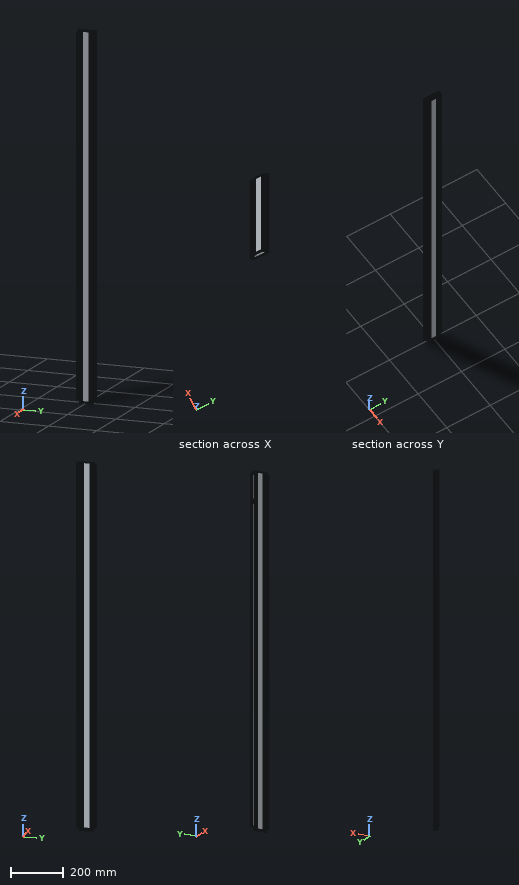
import cadquery as cq


length = 1473.2
width = 76.19
depth = 19.7
sheet = 2.5
cage_sheet = 1.0
clearance = 0.3
raceway_bow = 1.3

top_z = length / 2
bottom_z = -length / 2
back_x = -depth / 2
face_x = depth / 2

outer_half = width / 2
outer_corner = 3.2
outer_front_x = 6.2
flange_top_relief = 10.0
flange_bottom_relief = 15.0
shoulder_height = 11.5
shoulder_chamfer = 3.0
tongue_half = 25.4
bend_radius = 3.2

hole_diameter = 6.4
hole_drops = [13.3, 31.0, 75.4, 88.7, 248.5, 957.0, 971.0, 1442.0]
slots = [
    (53.2, 14.0),
    (603.5, 22.5),
    (1384.5, 14.0),
    (1407.0, 20.0),
    (1459.7, 13.0),
]

outer_cage_half = 33.5
middle_half = 30.5
inner_cage_half = 26.5
inner_half = 23.5
inner_chamfer = 5.5
inner_face_half = 16.5
inner_shoulder_x = outer_front_x
channel_corner = 3.2
inner_cage_corner = 1.5
channel_front_x = 7.5
cage_front_x = 5.5

outer_cage_x = back_x + sheet + clearance
middle_x = outer_cage_x + cage_sheet + clearance
inner_cage_x = middle_x + sheet + clearance
inner_back_x = inner_cage_x + inner_cage_corner

flange_top_z = top_z - flange_top_relief
flange_bottom_z = bottom_z + flange_bottom_relief
middle_bottom_z = bottom_z + shoulder_height
inner_bottom_z = bottom_z + bend_radius


def envelope(web_x, half_width, corner, front_x, z0, z1):
    """Solid block with a flat back, rounded back corners and bowed sides."""
    side_y = half_width - raceway_bow
    bow_start_x = web_x + corner
    bow_mid_x = (bow_start_x + front_x) / 2
    corner_mid = corner * (1 - 0.5 ** 0.5)
    return (
        cq.Workplane("XY", origin=(0, 0, z0))
        .moveTo(front_x, -side_y)
        .threePointArc((bow_mid_x, -half_width), (bow_start_x, -side_y))
        .threePointArc((web_x + corner_mid, corner_mid - side_y), (web_x, corner - side_y))
        .lineTo(web_x, side_y - corner)
        .threePointArc((web_x + corner_mid, side_y - corner_mid), (bow_start_x, side_y))
        .threePointArc((bow_mid_x, half_width), (front_x, side_y))
        .close()
        .extrude(z1 - z0)
    )


def channel(web_x, half_width, corner, front_x, thickness, z0, z1):
    """C-shaped sheet with its web at web_x and its open side toward +X."""
    outside = envelope(web_x, half_width, corner, front_x, z0, z1)
    inside = envelope(
        web_x + thickness, half_width - thickness, corner - thickness, front_x, z0, z1
    )
    return outside.cut(inside)


def block(x0, x1, half_y, z0, z1):
    """Box symmetric about the XZ plane."""
    return cq.Workplane("XY").box(x1 - x0, 2 * half_y, z1 - z0).translate(
        ((x0 + x1) / 2, 0, (z0 + z1) / 2)
    )


def cut_lower_corners(body, half_y, corner_z, size):
    """Chamfer the two lower corners of a body along its whole thickness."""
    for side in (-1, 1):
        corner = (
            cq.Workplane("YZ", origin=(back_x, 0, 0))
            .moveTo(side * half_y, corner_z)
            .lineTo(side * (half_y - size), corner_z)
            .lineTo(side * half_y, corner_z + size)
            .close()
            .extrude(depth)
        )
        body = body.cut(corner)
    return body


def end_tongue():
    """Narrow end of the web, bent toward +X into a stop tab."""
    return (
        cq.Workplane("XZ", origin=(0, tongue_half, 0))
        .moveTo(back_x, bottom_z + shoulder_height)
        .lineTo(back_x, bottom_z + bend_radius)
        .radiusArc((back_x + bend_radius, bottom_z), -bend_radius)
        .lineTo(outer_front_x, bottom_z)
        .lineTo(outer_front_x, bottom_z + sheet)
        .lineTo(back_x + bend_radius, bottom_z + sheet)
        .radiusArc((back_x + sheet, bottom_z + bend_radius), bend_radius - sheet)
        .lineTo(back_x + sheet, bottom_z + shoulder_height)
        .close()
        .extrude(2 * tongue_half)
    )


def web_openings():
    """Cutters for the mounting holes and slots along the middle of the outer web."""
    plane = cq.Workplane("YZ", origin=(back_x, 0, 0))
    holes = plane.pushPoints([(0, top_z - drop) for drop in hole_drops])
    cutters = holes.circle(hole_diameter / 2).extrude(sheet)
    for drop, slot_length in slots:
        slot = plane.center(0, top_z - drop).slot2D(slot_length, hole_diameter, 90)
        cutters = cutters.union(slot.extrude(sheet))
    return cutters


def make_outer_member():
    shoulder_z = bottom_z + shoulder_height
    body = channel(back_x, outer_half, outer_corner, outer_front_x, sheet, shoulder_z, top_z)
    flange_x = back_x + outer_corner
    body = body.cut(block(flange_x, face_x, outer_half, flange_top_z, top_z))
    body = body.cut(block(flange_x, face_x, outer_half, shoulder_z, flange_bottom_z))
    body = cut_lower_corners(body, outer_half, shoulder_z, shoulder_chamfer)
    return body.union(end_tongue()).cut(web_openings())


def make_outer_cage():
    return channel(
        outer_cage_x, outer_cage_half, channel_corner, cage_front_x,
        cage_sheet, flange_bottom_z, flange_top_z,
    )


def make_middle_member():
    return channel(
        middle_x, middle_half, channel_corner, channel_front_x,
        sheet, middle_bottom_z, top_z,
    )


def make_inner_cage():
    return channel(
        inner_cage_x, inner_cage_half, inner_cage_corner, cage_front_x,
        cage_sheet, flange_bottom_z, flange_top_z,
    )


def make_inner_member():
    """Hat-shaped sheet, open toward -X, with a raised middle that carries the drawer."""
    outside = block(inner_back_x, inner_shoulder_x, inner_half, inner_bottom_z, top_z).union(
        block(inner_back_x, face_x, inner_face_half, inner_bottom_z, top_z)
    )
    hollow = block(
        inner_back_x, inner_shoulder_x - sheet, inner_half - sheet, inner_bottom_z, top_z
    ).union(
        block(inner_back_x, face_x - sheet, inner_face_half - sheet, inner_bottom_z, top_z)
    )
    return cut_lower_corners(outside.cut(hollow), inner_half, inner_bottom_z, inner_chamfer)


outer_member = make_outer_member()
outer_cage = make_outer_cage()
middle_member = make_middle_member()
inner_cage = make_inner_cage()
inner_member = make_inner_member()

result = cq.Compound.makeCompound([
    outer_member.val(),
    outer_cage.val(),
    middle_member.val(),
    inner_cage.val(),
    inner_member.val(),
])